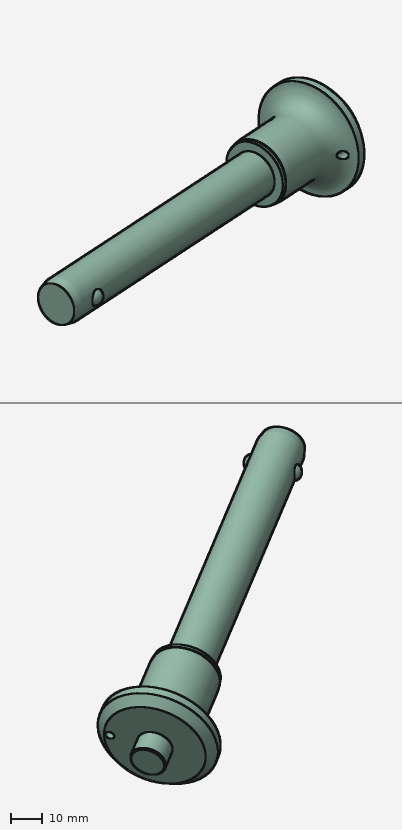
import cadquery as cq
import math

overall_length = 146.2
handle_length = 34.5
button_height = 7.7
shank_length = overall_length - handle_length - button_height

button_radius = 5.9
button_edge = 0.4

flange_radius = 40.0 / 2
flange_bevel = 3.1
flange_thickness = 6.2
grip_radius = 11.75
flare_radius = 8.0
collar_radius = 11.3
collar_length = 1.4
grip_taper_length = 2.2
grip_taper_depth = 0.2

shank_radius = 8.0
tip_radius = 7.25
tip_length = 3.2

ball_radius = 3.0
ball_reach = 9.6
ball_from_tip = 11.2

lanyard_hole_diameter = 3.0
lanyard_hole_offset = 15.0

tip_end = -shank_length
flange_top = handle_length
flange_bottom = flange_top - flange_thickness
button_top = flange_top + button_height


def make_pin_body():
    """Revolve the half outline (radius along X) about the Y axis."""
    flare_centre_radius = grip_radius + flare_radius
    flare_end = flange_bottom - flare_radius
    flare_diagonal = flare_radius * math.sqrt(0.5)
    outline = (
        cq.Workplane("XY")
        .moveTo(0, tip_end)
        .lineTo(tip_radius, tip_end)
        .lineTo(shank_radius, tip_end + tip_length)
        .lineTo(shank_radius, 0)
        .lineTo(collar_radius, 0)
        .lineTo(collar_radius, collar_length)
        .lineTo(grip_radius - grip_taper_depth, collar_length)
        .lineTo(grip_radius, collar_length + grip_taper_length)
        .lineTo(grip_radius, flare_end)
        .threePointArc(
            (flare_centre_radius - flare_diagonal, flare_end + flare_diagonal),
            (flare_centre_radius, flange_bottom),
        )
        .lineTo(flange_radius, flange_bottom)
        .lineTo(flange_radius, flange_top - flange_bevel)
        .lineTo(flange_radius - flange_bevel, flange_top)
        .lineTo(button_radius, flange_top)
        .lineTo(button_radius, button_top - button_edge)
        .lineTo(button_radius - button_edge, button_top)
        .lineTo(0, button_top)
        .close()
    )
    return outline.revolve(axisStart=(0, 0, 0), axisEnd=(0, 1, 0))


def make_locking_ball(side):
    """Ball that protrudes from the shank on the +X (side=1) or -X (side=-1) side."""
    centre_x = side * (ball_reach - ball_radius)
    return cq.Workplane("XY").sphere(ball_radius).translate((centre_x, tip_end + ball_from_tip, 0))


def make_lanyard_hole():
    """Cutter parallel to the pin axis that passes through the whole handle height."""
    return (
        cq.Workplane("XZ")
        .center(lanyard_hole_offset, 0)
        .circle(lanyard_hole_diameter / 2)
        .extrude(-handle_length)
    )


result = make_pin_body()
for side in (-1, 1):
    result = result.union(make_locking_ball(side))
result = result.cut(make_lanyard_hole())